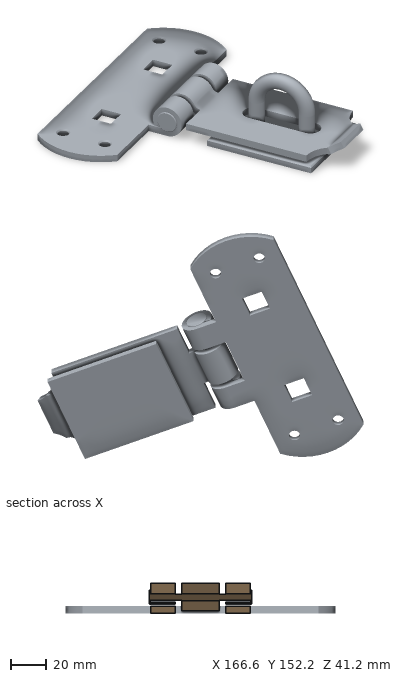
import cadquery as cq
import math

OVERALL_LENGTH = 166.6
SHEET = 4.2
PIN_RADIUS = 5.0
ROLL_RADIUS = PIN_RADIUS + SHEET
PIN_X = 62.6
PIN_Z = ROLL_RADIUS

LEAF_WIDTH = 50.8
LEAF_HALF_LENGTH = 76.1
LEAF_CORNER_Y = 66.5
KNUCKLE_OUTER_Y = 28.3
KNUCKLE_INNER_Y = 14.0
ROLL_END_ANGLE = 8.5
ROLL_END_GAP = 0.5

SQUARE_HOLE = 12.2
SQUARE_HOLE_Y = 31.2
SCREW_SPACING_X = 26.7
SCREW_Y = 58.3
SCREW_RADIUS = 3.2
SCREW_MOUTH_RADIUS = 4.0

STRAP_START_X = 74.6
STRAP_HALF_WIDTH = KNUCKLE_OUTER_Y
STRAP_KNUCKLE_HALF = 10.8
STRAP_BOTTOM = PIN_Z - SHEET / 2
STRAP_TOP = PIN_Z + SHEET / 2
STRAP_ROLL_END = 20.0
FOLD_X = 157.6
FOLD_RADIUS = 0.8
TIP_ANGLE = 30.0
TIP_HALF_WIDTH = 11.5
CORNER_X = 151.3

STAPLE_X = 120.8
WIRE_RADIUS = 4.7
STAPLE_BEND = 16.0
STAPLE_TOP = 41.2
SLOT_LENGTH = 48.7
SLOT_WIDTH = 12.2
PLATE_LENGTH = 66.3
PLATE_WIDTH = 55.5
PLATE_CHAMFER = 0.7

HEAD_RADIUS = 6.2
HEAD_THICKNESS = 0.7
HEAD_CHAMFER = 0.3


def polar(radius, degrees, center=(PIN_X, PIN_Z)):
    """Point (x, z) at an angle measured from +X toward +Z."""
    angle = math.radians(degrees)
    return (center[0] + radius * math.cos(angle), center[1] + radius * math.sin(angle))


def side_profile(start_y):
    """Workplane in X and Z whose extrusion runs toward +Y from start_y."""
    return cq.Workplane("XZ", origin=(0, start_y, 0))


def leaf_knuckle(start_y):
    """Tab that leaves the leaf edge, rolls over the pin and comes back down to the leaf."""
    end_angle = 180 + ROLL_END_ANGLE
    middle_angle = (end_angle - 90) / 2
    outer_end = polar(ROLL_RADIUS, end_angle)
    inner_end = polar(PIN_RADIUS, end_angle)
    drop = outer_end[1] - SHEET - ROLL_END_GAP
    shift = drop * math.tan(math.radians(ROLL_END_ANGLE))
    return (
        side_profile(start_y)
        .moveTo(LEAF_WIDTH, 0)
        .lineTo(PIN_X, 0)
        .threePointArc(polar(ROLL_RADIUS, middle_angle), outer_end)
        .line(shift, -drop)
        .lineTo(inner_end[0] + shift, inner_end[1] - drop)
        .lineTo(*inner_end)
        .threePointArc(polar(PIN_RADIUS, middle_angle), (PIN_X, SHEET))
        .lineTo(LEAF_WIDTH, SHEET)
        .close()
        .extrude(-(KNUCKLE_OUTER_Y - KNUCKLE_INNER_Y))
    )


def make_base_leaf():
    leaf = (
        cq.Workplane("XY")
        .moveTo(0, -LEAF_CORNER_Y)
        .threePointArc((LEAF_WIDTH / 2, -LEAF_HALF_LENGTH), (LEAF_WIDTH, -LEAF_CORNER_Y))
        .lineTo(LEAF_WIDTH, LEAF_CORNER_Y)
        .threePointArc((LEAF_WIDTH / 2, LEAF_HALF_LENGTH), (0, LEAF_CORNER_Y))
        .close()
        .extrude(SHEET)
    )
    for start_y in (-KNUCKLE_OUTER_Y, KNUCKLE_INNER_Y):
        leaf = leaf.union(leaf_knuckle(start_y))

    hole_plane = cq.Workplane("XY", origin=(LEAF_WIDTH / 2, 0, 0))
    square_holes = hole_plane.rarray(1.7, 2 * SQUARE_HOLE_Y, 1, 2).rect(SQUARE_HOLE, SQUARE_HOLE).extrude(SHEET)

    mouth_depth = SCREW_MOUTH_RADIUS - SCREW_RADIUS
    screw_hole = (
        cq.Workplane("XZ")
        .polyline([
            (0, 0),
            (SCREW_RADIUS, 0),
            (SCREW_RADIUS, SHEET - mouth_depth),
            (SCREW_MOUTH_RADIUS, SHEET),
            (0, SHEET),
        ])
        .close()
        .revolve(360, (0, 0), (0, 1))
        .val()
    )
    screw_holes = hole_plane.rarray(SCREW_SPACING_X, 2 * SCREW_Y, 2, 2).eachpoint(
        lambda place: screw_hole.moved(place)
    )
    return leaf.cut(square_holes).cut(screw_holes)


def strap_knuckle():
    """Neck that bends up from the strap and rolls over the pin."""
    reach = STRAP_START_X - PIN_X
    neck_bend = (reach**2 + SHEET**2 / 4 - ROLL_RADIUS**2) / (2 * ROLL_RADIUS - SHEET)
    center_distance = ROLL_RADIUS + neck_bend
    join_angle = math.degrees(math.acos(reach / center_distance))
    bend_center = polar(center_distance, join_angle)
    bend_middle = (180 + join_angle + 270) / 2
    end_angle = 360 - STRAP_ROLL_END
    roll_middle = (join_angle + end_angle) / 2
    outer_bend = neck_bend + SHEET
    return (
        side_profile(-STRAP_KNUCKLE_HALF)
        .moveTo(STRAP_START_X, STRAP_TOP)
        .threePointArc(polar(neck_bend, bend_middle, bend_center), polar(ROLL_RADIUS, join_angle))
        .threePointArc(polar(ROLL_RADIUS, roll_middle), polar(ROLL_RADIUS, end_angle))
        .lineTo(*polar(PIN_RADIUS, end_angle))
        .threePointArc(polar(PIN_RADIUS, roll_middle), polar(PIN_RADIUS, join_angle))
        .threePointArc(polar(outer_bend, bend_middle, bend_center), (STRAP_START_X, STRAP_BOTTOM))
        .close()
        .extrude(-2 * STRAP_KNUCKLE_HALF)
    )


def make_strap():
    tip_angle = math.radians(TIP_ANGLE)
    fold_outer = FOLD_RADIUS + SHEET
    fold_center = (FOLD_X, STRAP_TOP + FOLD_RADIUS)
    tip_length = (OVERALL_LENGTH - FOLD_X - fold_outer * math.sin(tip_angle)) / math.cos(tip_angle)
    scoop_radius = STRAP_HALF_WIDTH - TIP_HALF_WIDTH
    scoop_x = CORNER_X + scoop_radius

    def flat_piece(start_x, end_x):
        """Length of the unfolded strap, with the corners scooped away beside the tip."""
        length = end_x - start_x
        piece = cq.Workplane("XY", origin=(start_x + length / 2, 0, STRAP_BOTTOM + SHEET / 2)).box(
            length, 2 * STRAP_HALF_WIDTH, SHEET
        )
        scoops = (
            cq.Workplane("XY", origin=(scoop_x, 0, STRAP_BOTTOM))
            .rarray(1.7, 2 * STRAP_HALF_WIDTH, 1, 2)
            .circle(scoop_radius)
            .extrude(SHEET)
        )
        return piece.cut(scoops)

    fold_half_width = STRAP_HALF_WIDTH - math.sqrt(scoop_radius**2 - (scoop_x - FOLD_X) ** 2)
    fold = (
        side_profile(-fold_half_width)
        .moveTo(FOLD_X, STRAP_TOP)
        .lineTo(FOLD_X, STRAP_BOTTOM)
        .threePointArc(
            polar(fold_outer, TIP_ANGLE / 2 - 90, fold_center), polar(fold_outer, TIP_ANGLE - 90, fold_center)
        )
        .lineTo(*polar(FOLD_RADIUS, TIP_ANGLE - 90, fold_center))
        .threePointArc(polar(FOLD_RADIUS, TIP_ANGLE / 2 - 90, fold_center), (FOLD_X, STRAP_TOP))
        .close()
        .extrude(-2 * fold_half_width)
    )
    tip = flat_piece(FOLD_X, FOLD_X + tip_length).rotate(
        (FOLD_X, 0, fold_center[1]), (FOLD_X, 1, fold_center[1]), -TIP_ANGLE
    )
    slot = (
        cq.Workplane("XY", origin=(STAPLE_X, 0, STRAP_BOTTOM))
        .slot2D(SLOT_LENGTH, SLOT_WIDTH)
        .extrude(SHEET)
    )
    flat = flat_piece(STRAP_START_X, FOLD_X).cut(slot)
    return flat.union(fold).union(tip).union(strap_knuckle())


def make_pin():
    shaft = side_profile(-KNUCKLE_OUTER_Y).center(PIN_X, PIN_Z).circle(PIN_RADIUS).extrude(-2 * KNUCKLE_OUTER_Y)
    for start_y in (-KNUCKLE_OUTER_Y - HEAD_THICKNESS, KNUCKLE_OUTER_Y):
        head = side_profile(start_y).center(PIN_X, PIN_Z).circle(HEAD_RADIUS).extrude(-HEAD_THICKNESS)
        outer_face = "<Y" if start_y < 0 else ">Y"
        shaft = shaft.union(head.faces(outer_face).chamfer(HEAD_CHAMFER))
    return shaft


def make_staple_plate():
    return (
        cq.Workplane("XY", origin=(STAPLE_X, 0, SHEET / 2))
        .box(PLATE_LENGTH, PLATE_WIDTH, SHEET)
        .faces(">Z")
        .chamfer(PLATE_CHAMFER)
    )


def make_staple():
    """Round wire loop standing on the plate."""
    bend_z = STAPLE_TOP - WIRE_RADIUS - STAPLE_BEND
    path = (
        cq.Workplane("XZ")
        .moveTo(STAPLE_X - STAPLE_BEND, SHEET)
        .lineTo(STAPLE_X - STAPLE_BEND, bend_z)
        .threePointArc((STAPLE_X, bend_z + STAPLE_BEND), (STAPLE_X + STAPLE_BEND, bend_z))
        .lineTo(STAPLE_X + STAPLE_BEND, SHEET)
    )
    wire_end = cq.Workplane("XY", origin=(STAPLE_X - STAPLE_BEND, 0, SHEET))
    return wire_end.circle(WIRE_RADIUS).sweep(path)


base_leaf = make_base_leaf()
strap = make_strap()
pin = make_pin()
staple_plate = make_staple_plate()
staple = make_staple()

bodies = (base_leaf, strap, pin, staple_plate, staple)
result = cq.Compound.makeCompound([body.solids().val() for body in bodies])